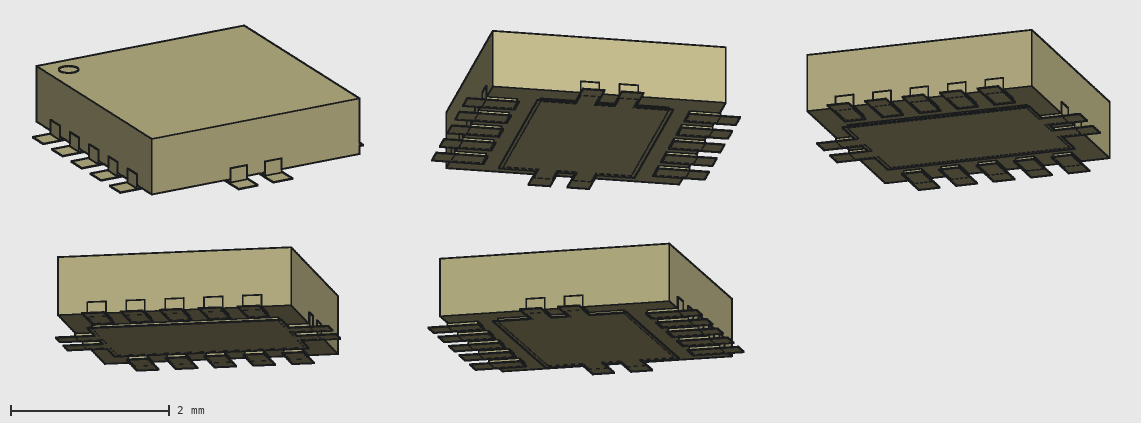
import cadquery as cq

BODY_SIZE = 3.0
TOP_Z = 0.8
STANDOFF = 0.05

PITCH = 0.5
TERMINAL_WIDTH = 0.24
TERMINAL_LENGTH = 0.4
TERMINAL_TOP_Z = 0.2
TERMINAL_PROUD = 0.01
LONG_ROW_COUNT = 5
SHORT_ROW_COUNT = 2

PAD_SIZE_X = 2.4
PAD_SIZE_Y = 1.65

LAND_THICKNESS = 0.01
LAND_SPAN = 3.51
LAND_SIDE_MARGIN = 0.02
PAD_LAND_MARGIN = 0.05

MARK_DIAMETER = 0.25
MARK_DEPTH = 0.01
MARK_INSET = 0.3

HALF_BODY = BODY_SIZE / 2


def block(x_range, y_range, z_range):
    """Axis-aligned box between the given limits."""
    (x0, x1), (y0, y1), (z0, z1) = x_range, y_range, z_range
    return cq.Workplane("XY").box(x1 - x0, y1 - y0, z1 - z0, centered=False).translate((x0, y0, z0))


def make_body():
    body = block((-HALF_BODY, HALF_BODY), (-HALF_BODY, HALF_BODY), (STANDOFF, TOP_Z))
    mark_place = MARK_INSET - HALF_BODY
    mark = (
        cq.Workplane("XY", origin=(mark_place, mark_place, TOP_Z))
        .circle(MARK_DIAMETER / 2)
        .extrude(-MARK_DEPTH)
    )
    return body.cut(mark)


def make_terminal(offset):
    """One terminal and its land on the -Y side, centred at X = offset."""
    outer_y = -HALF_BODY - TERMINAL_PROUD
    inner_y = outer_y + TERMINAL_LENGTH
    half_width = TERMINAL_WIDTH / 2
    half_land = half_width + LAND_SIDE_MARGIN
    width_range = (offset - half_width, offset + half_width)
    foot = block(width_range, (outer_y, inner_y), (LAND_THICKNESS, STANDOFF))
    wall = block(width_range, (outer_y, -HALF_BODY), (LAND_THICKNESS, TERMINAL_TOP_Z))
    land = block(
        (offset - half_land, offset + half_land),
        (-LAND_SPAN / 2, inner_y + LAND_SIDE_MARGIN),
        (0, LAND_THICKNESS),
    )
    return foot.union(wall).union(land)


def make_terminals():
    """All terminals, each row made on the -Y side and turned to its own side."""
    rows = ((0, LONG_ROW_COUNT), (90, SHORT_ROW_COUNT), (180, LONG_ROW_COUNT), (270, SHORT_ROW_COUNT))
    terminals = []
    for angle, count in rows:
        for index in range(count):
            offset = (index - (count - 1) / 2) * PITCH
            terminals.append(make_terminal(offset).rotate((0, 0, 0), (0, 0, 1), angle))
    return terminals


def make_central_pad():
    half_x = PAD_SIZE_X / 2
    half_y = PAD_SIZE_Y / 2
    land_x = half_x + PAD_LAND_MARGIN
    land_y = half_y + PAD_LAND_MARGIN
    pad = block((-half_x, half_x), (-half_y, half_y), (LAND_THICKNESS, STANDOFF))
    land = block((-land_x, land_x), (-land_y, land_y), (0, LAND_THICKNESS))
    return pad.union(land)


result = make_body().union(make_central_pad())
for terminal in make_terminals():
    result = result.union(terminal)